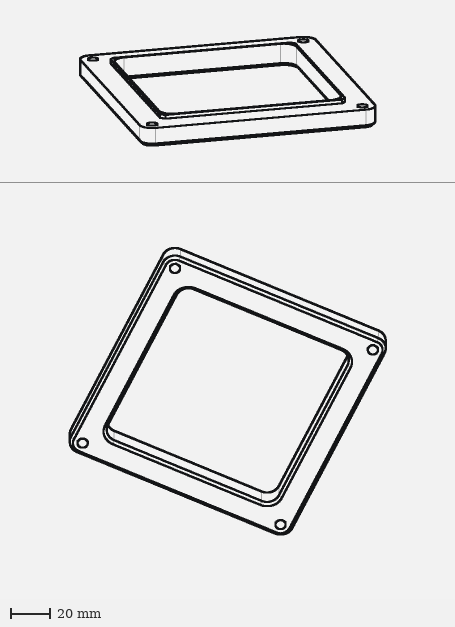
import cadquery as cq

plate_side = 125
plate_height = 10.0
corner_radius = 6.6
bottom_chamfer = 1.6

lip_margin = 13.4
lip_height = 2.0
lip_corner_chamfer = 2.1
lip_side = plate_side - 2 * lip_margin

lip_wall = 0.9
opening_radius = corner_radius
opening_side = lip_side - 2 * lip_wall

hole_diameter = 5.2
hole_spacing = plate_side - 2 * corner_radius

total_height = plate_height + lip_height


def make_plate():
    """Plate with rounded corners."""
    plate = cq.Workplane("XY").rect(plate_side, plate_side).extrude(plate_height)
    return plate.edges("|Z").fillet(corner_radius)


def make_lip():
    """Solid raised square with clipped corners, standing on the plate."""
    lip = cq.Workplane("XY").workplane(offset=plate_height)
    lip = lip.rect(lip_side, lip_side).extrude(lip_height)
    return lip.edges("|Z").chamfer(lip_corner_chamfer)


def make_opening():
    """Cutter for the rounded square opening through plate and lip."""
    opening = cq.Workplane("XY").rect(opening_side, opening_side).extrude(total_height)
    return opening.edges("|Z").fillet(opening_radius)


def make_screw_holes():
    """Cutters for the four corner holes through the plate."""
    holes = cq.Workplane("XY").rect(hole_spacing, hole_spacing, forConstruction=True)
    return holes.vertices().circle(hole_diameter / 2).extrude(plate_height)


frame = make_plate().union(make_lip()).cut(make_opening())
frame = frame.faces("<Z").edges().chamfer(bottom_chamfer)
result = frame.cut(make_screw_holes())